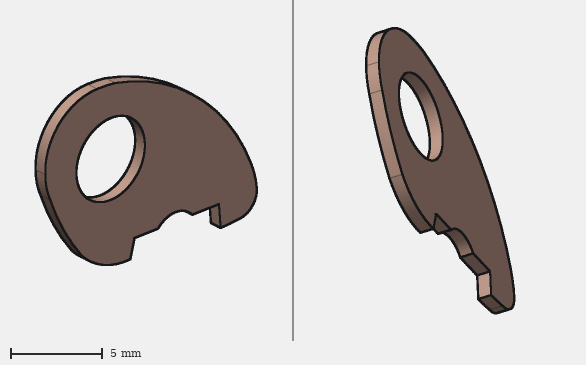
import cadquery as cq

thickness = 0.8
length = 15.46
height = 11.52

hole_y = 4.78
hole_z = 6.91
hole_diameter = 5.0

notch_top_z = 1.5
notch_toe_y = 12.68
notch_heel_y = 6.52
relief_start_y = 10.75
relief_end_y = 8.24
relief_height = 0.57

toe_foot_y = 12.8
heel_foot_y = 6.21
heel_foot_z = 0.31

toe_bottom = (14.1, 0.1)
toe_side = (length, 1.47)
back_start = (15.06, 3.12)
back_top = (5.1, 11.44)
nose_top = (3.79, height)
nose_side = (0.0, 7.58)
flank_start = (0.35, 5.92)
flank_end = (2.66, 1.73)

toe_foot_middle = (13.45, 0.03)
toe_middle = (15.06, 0.5)
toe_side_middle = (15.32, 2.3)
back_middle = (11.56, 8.16)
nose_top_middle = (4.45, 11.5)
nose_middle = (1.17, 10.48)
nose_side_middle = (0.1, 6.73)
flank_middle = (1.36, 3.7)
heel_middle = (4.15, 0.66)


def plate_outline():
    """Closed outline in the YZ plane, beginning at the toe foot."""
    relief_top = ((relief_start_y + relief_end_y) / 2, notch_top_z + relief_height)
    return (
        cq.Workplane("YZ")
        .moveTo(toe_foot_y, 0)
        .threePointArc(toe_foot_middle, toe_bottom)
        .threePointArc(toe_middle, toe_side)
        .threePointArc(toe_side_middle, back_start)
        .threePointArc(back_middle, back_top)
        .threePointArc(nose_top_middle, nose_top)
        .threePointArc(nose_middle, nose_side)
        .threePointArc(nose_side_middle, flank_start)
        .threePointArc(flank_middle, flank_end)
        .threePointArc(heel_middle, (heel_foot_y, heel_foot_z))
        .lineTo(notch_heel_y, notch_top_z)
        .lineTo(relief_end_y, notch_top_z)
        .threePointArc(relief_top, (relief_start_y, notch_top_z))
        .lineTo(notch_toe_y, notch_top_z)
        .close()
    )


plate = plate_outline().extrude(thickness)

hole = (
    cq.Workplane("YZ")
    .center(hole_y, hole_z)
    .circle(hole_diameter / 2)
    .extrude(thickness)
)

result = plate.cut(hole)